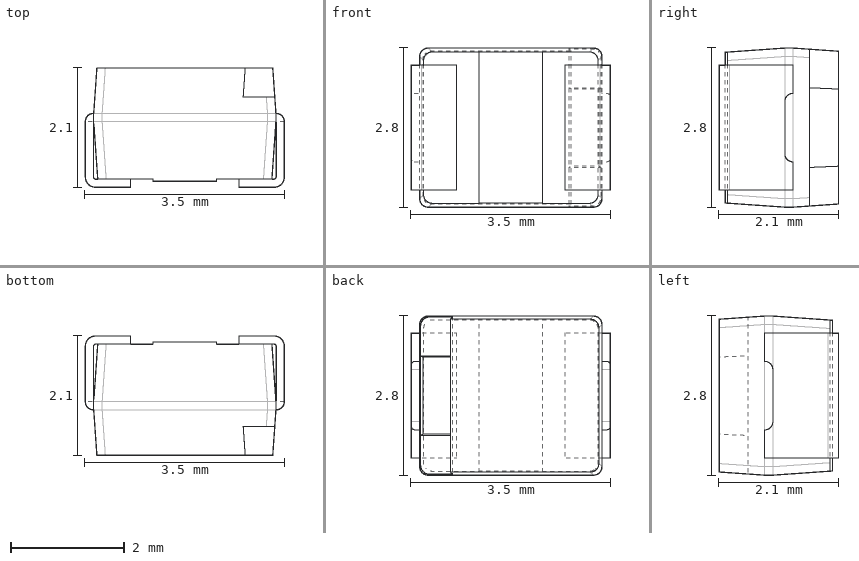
import cadquery as cq
import math

overall_length = 3.5
case_height = 2.8
lead_thickness = 0.147
case_length = overall_length - 2 * lead_thickness
corner_radius = 0.15
draft_tangent = math.tan(math.radians(4.0))

pad_y = 0.105
case_bottom_y = lead_thickness
band_bottom_y = 1.155
band_top_y = band_bottom_y + lead_thickness
case_top_y = 2.1
pad_width = 1.12

lead_height = 2.198
foot_length = 0.798
inner_bend_radius = 0.035
outer_bend_radius = inner_bend_radius + lead_thickness
slot_width = 1.205
slot_depth = lead_thickness
slot_corner_radius = 0.145

mark_floor_y = 1.59
mark_start_x = 1.025
mark_height = 1.4
mark_draft_tangent = math.tan(math.radians(2.5))


def section_plane(y):
    """Plane across Y whose local x is X and local y is Z."""
    return cq.Plane(origin=(0, y, 0), xDir=(1, 0, 0), normal=(0, -1, 0))


def inset_at(y):
    """Amount by which the draft pulls in each side of the case at level y."""
    return draft_tangent * max(band_bottom_y - y, y - band_top_y, 0)


def section_wire(y, x_min, x_max, height, radius=0):
    section = cq.Sketch().rect(x_max - x_min, height)
    if radius:
        section = section.vertices().fillet(radius)
    place = cq.Location(((x_min + x_max) / 2, 0, 0))
    outline = cq.Workplane(section_plane(y)).placeSketch(section.moved(place))
    return outline.extrude(lead_thickness).faces(">Y").wires().val()


def case_wire(y):
    half_length = case_length / 2 - inset_at(y)
    return section_wire(y, -half_length, half_length, case_height - 2 * inset_at(y), corner_radius)


def frustum(lower_wire, upper_wire):
    return cq.Workplane(cq.Solid.makeLoft([lower_wire, upper_wire], True))


def make_drafted_block():
    levels = [pad_y, band_bottom_y, band_top_y, case_top_y]
    wires = [case_wire(y) for y in levels]
    block = frustum(wires[0], wires[1])
    for lower, upper in zip(wires[1:], wires[2:]):
        block = block.union(frustum(lower, upper))
    return block


def mark_block(height, height_draft, x_reach):
    """Block between the notch floor and the case top, running on past the +X side by x_reach."""
    rise = case_top_y - mark_floor_y
    start_top_x = mark_start_x + draft_tangent * rise
    end_floor_x = case_length / 2 - inset_at(mark_floor_y) + x_reach
    end_top_x = case_length / 2 - inset_at(case_top_y) + x_reach
    return frustum(
        section_wire(mark_floor_y, mark_start_x, end_floor_x, height),
        section_wire(case_top_y, start_top_x, end_top_x, height - 2 * height_draft * rise),
    )


def make_case():
    case = make_drafted_block()
    relief_length = (case_length - pad_width) / 2
    for side in (-1, 1):
        relief = cq.Workplane("XY").box(
            relief_length, case_bottom_y - pad_y, case_height, centered=(True, False, True)
        ).translate((side * (pad_width + relief_length) / 2, pad_y, 0))
        case = case.cut(relief)
    return case.cut(mark_block(case_height, 0, lead_thickness))


def make_mark():
    return mark_block(mark_height, mark_draft_tangent, 0)


def make_left_lead():
    outer_x = -overall_length / 2
    inner_x = outer_x + lead_thickness
    foot_end_x = outer_x + foot_length
    diagonal = math.sqrt(0.5)
    bend_x = outer_x + outer_bend_radius
    bend_y = outer_bend_radius
    bend_outer_mid = (bend_x - outer_bend_radius * diagonal, bend_y - outer_bend_radius * diagonal)
    bend_inner_mid = (bend_x - inner_bend_radius * diagonal, bend_y - inner_bend_radius * diagonal)
    tip_mid = (inner_x - lead_thickness * diagonal, band_bottom_y + lead_thickness * diagonal)
    profile = (
        cq.Workplane("XY", origin=(0, 0, -lead_height / 2))
        .moveTo(foot_end_x, 0)
        .lineTo(bend_x, 0)
        .threePointArc(bend_outer_mid, (outer_x, bend_y))
        .lineTo(outer_x, band_bottom_y)
        .threePointArc(tip_mid, (inner_x, band_top_y))
        .lineTo(inner_x, bend_y)
        .threePointArc(bend_inner_mid, (bend_x, lead_thickness))
        .lineTo(foot_end_x, lead_thickness)
        .close()
    )
    lead = profile.extrude(lead_height)
    slot = (
        cq.Workplane("XY")
        .box(lead_thickness, slot_depth, slot_width, centered=(False, False, True))
        .translate((outer_x, band_top_y - slot_depth, 0))
        .edges("|X and <Y")
        .fillet(slot_corner_radius)
    )
    return lead.cut(slot)


case = make_case()
mark = make_mark()
left_lead = make_left_lead()
leads = [left_lead.rotate((0, 0, 0), (0, 1, 0), turn) for turn in (0, 180)]

result = cq.Compound.makeCompound([case.solids().val(), mark.val(), *[lead.solids().val() for lead in leads]])